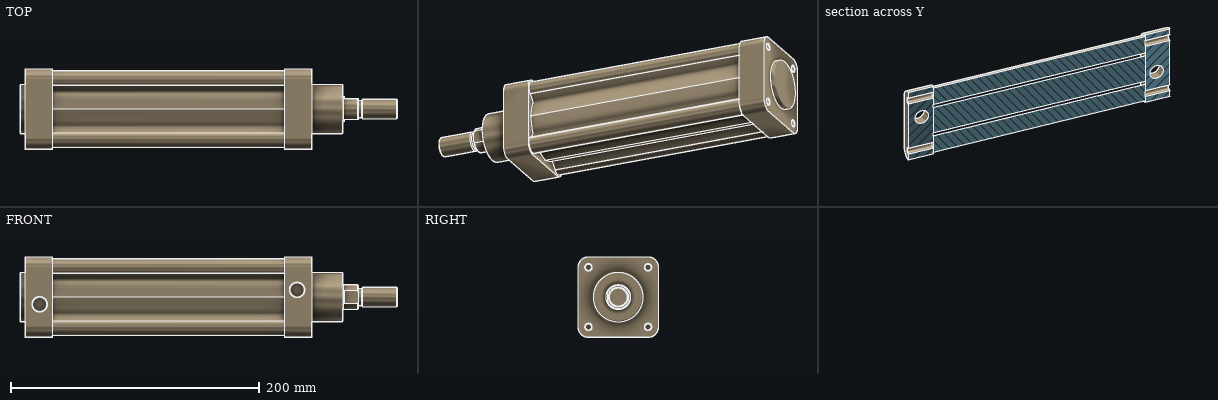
import cadquery as cq
import math


overall_length = 304.0
rear_boss_length = 4.0
front_boss_length = 25.0
cap_length = 22.0
barrel_length = 187.0

rear_cap_x = rear_boss_length
barrel_x = rear_cap_x + cap_length
front_cap_x = barrel_x + barrel_length
front_boss_x = front_cap_x + cap_length
rod_x = front_boss_x + front_boss_length

cap_size = 65.0
cap_corner_radius = 8.5
boss_diameter = 40.0
boss_fillet = 1.0
screw_spacing = 48.0
screw_hole_diameter = 5.0
hole_mouth_chamfer = 0.5
port_diameter = 11.5
port_depth = 12.0
port_z = 5.8
port_inset = 11.8

barrel_radius = 27.0
ridge_half_angle = 15.0
lobe_radius = 7.0
lobe_half_width = 6.5
lobe_centre = screw_spacing / 2
lobe_fillet = 2.0

rod_diameter = 20.0
wrench_flat_width = 17.0
rod_collar_length = 1.5
rod_body_length = 12.5
rod_body_chamfer = 0.7
neck_diameter = 14.0
neck_length = 2.5
thread_diameter = 16.0
thread_root_chamfer = 1.0
thread_end_chamfer = 0.75
thread_length = overall_length - rod_x - rod_body_length - neck_length


def cylinder_x(x_start, length, diameter):
    """Cylinder on the X axis starting at x_start."""
    return cq.Workplane("YZ", origin=(x_start, 0, 0)).circle(diameter / 2).extrude(length)


def chamfered_hole(mouth, direction, diameter, depth):
    """Tool for a flat-bottomed hole with a chamfered mouth."""
    mouth_plane = cq.Plane(origin=mouth, normal=direction)
    bore = cq.Workplane(mouth_plane).circle(diameter / 2).extrude(depth)
    lead_in = cq.Solid.makeCone(
        diameter / 2 + hole_mouth_chamfer,
        diameter / 2,
        hole_mouth_chamfer,
        cq.Vector(*mouth),
        cq.Vector(*direction),
    )
    return bore.union(cq.Workplane(lead_in))


def make_cap(x_start, outer_face_x, inward):
    """Rounded square cap with four tie screw holes and one air port in its -Y side.

    inward is +1 or -1, the X direction from the outer face toward the barrel.
    """
    cap = cq.Workplane("YZ", origin=(x_start, 0, 0)).rect(cap_size, cap_size).extrude(cap_length)
    cap = cap.edges("|X").fillet(cap_corner_radius)
    for y in (-screw_spacing / 2, screw_spacing / 2):
        for z in (-screw_spacing / 2, screw_spacing / 2):
            mouth = (outer_face_x, y, z)
            cap = cap.cut(chamfered_hole(mouth, (inward, 0, 0), screw_hole_diameter, cap_length))
    port_mouth = (outer_face_x + inward * port_inset, -cap_size / 2, -inward * port_z)
    return cap.cut(chamfered_hole(port_mouth, (0, 1, 0), port_diameter, port_depth))


def make_rear_cap():
    boss = cylinder_x(0, rear_boss_length, boss_diameter).faces("<X").fillet(boss_fillet)
    return make_cap(rear_cap_x, rear_cap_x, 1).union(boss)


def make_front_cap():
    boss = cylinder_x(front_boss_x, front_boss_length, boss_diameter).faces(">X").fillet(boss_fillet)
    return make_cap(front_cap_x, front_boss_x, -1).union(boss)


def polar(radius, angle):
    """Point (Y, Z) at a radius and an angle in degrees from +Y."""
    turn = math.radians(angle)
    return (radius * math.cos(turn), radius * math.sin(turn))


def make_barrel():
    """Round barrel with a low ridge on each side and a round-ended lobe at each corner."""
    ridge_radius = barrel_radius / math.cos(math.radians(ridge_half_angle))
    fillet_centre_radius = barrel_radius + lobe_fillet
    fillet_offset = lobe_half_width + lobe_fillet
    fillet_angle = math.degrees(math.asin(fillet_offset / fillet_centre_radius))
    flank_start = math.sqrt(fillet_centre_radius**2 - fillet_offset**2)
    lobe_centre_radius = lobe_centre * math.sqrt(2)
    fillet_middle = math.radians((fillet_angle + 90) / 2)
    mid_along = flank_start - lobe_fillet * math.cos(fillet_middle)
    mid_across = fillet_offset - lobe_fillet * math.sin(fillet_middle)

    def from_diagonal(diagonal, along, across):
        """Point at a distance along a lobe's diagonal and across it."""
        return polar(math.hypot(along, across), diagonal + math.degrees(math.atan2(across, along)))

    profile = cq.Workplane("YZ", origin=(barrel_x, 0, 0)).moveTo(*polar(ridge_radius, 0))
    for ridge in range(0, 360, 90):
        diagonal = ridge + 45
        lower_tangent = diagonal - fillet_angle
        upper_tangent = diagonal + fillet_angle
        next_flat = ridge + 90 - ridge_half_angle
        profile = (
            profile.lineTo(*polar(barrel_radius, ridge + ridge_half_angle))
            .threePointArc(
                polar(barrel_radius, (ridge + ridge_half_angle + lower_tangent) / 2),
                polar(barrel_radius, lower_tangent),
            )
            .threePointArc(
                from_diagonal(diagonal, mid_along, -mid_across),
                from_diagonal(diagonal, flank_start, -lobe_half_width),
            )
            .lineTo(*from_diagonal(diagonal, lobe_centre_radius, -lobe_half_width))
            .lineTo(*from_diagonal(diagonal, lobe_centre_radius, -lobe_radius))
            .threePointArc(
                from_diagonal(diagonal, lobe_centre_radius + lobe_radius, 0),
                from_diagonal(diagonal, lobe_centre_radius, lobe_radius),
            )
            .lineTo(*from_diagonal(diagonal, lobe_centre_radius, lobe_half_width))
            .lineTo(*from_diagonal(diagonal, flank_start, lobe_half_width))
            .threePointArc(
                from_diagonal(diagonal, mid_along, mid_across),
                polar(barrel_radius, upper_tangent),
            )
            .threePointArc(
                polar(barrel_radius, (upper_tangent + next_flat) / 2),
                polar(barrel_radius, next_flat),
            )
            .lineTo(*polar(ridge_radius, ridge + 90))
        )
    return profile.close().extrude(barrel_length)


def make_rod():
    """Rod end outside the front boss: wrench flats, undercut neck and thread blank."""
    body = cylinder_x(rod_x, rod_body_length, rod_diameter).faces("<X or >X").chamfer(rod_body_chamfer)
    flats_x = rod_x + rod_collar_length
    flats_length = rod_body_length - rod_collar_length
    flats_clearance = 2 * rod_diameter
    flats_envelope = (
        cq.Workplane("YZ", origin=(flats_x, 0, 0))
        .rect(flats_clearance, flats_clearance)
        .rect(wrench_flat_width, flats_clearance - rod_diameter / 2)
        .extrude(flats_length)
    )
    neck_x = rod_x + rod_body_length
    neck = cylinder_x(neck_x, neck_length, neck_diameter)
    thread = cylinder_x(neck_x + neck_length, thread_length, thread_diameter)
    thread = thread.faces("<X").chamfer(thread_root_chamfer).faces(">X").chamfer(thread_end_chamfer)
    return body.cut(flats_envelope).union(neck).union(thread)


rear_cap = make_rear_cap()
barrel = make_barrel()
front_cap = make_front_cap()
rod = make_rod()

result = cq.Compound.makeCompound([rear_cap.val(), barrel.val(), front_cap.val(), rod.val()])